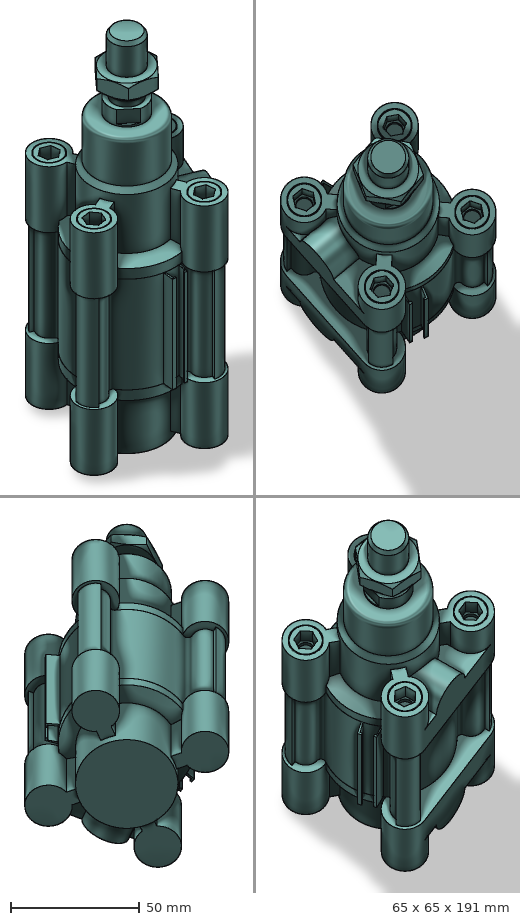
import cadquery as cq
import math

total_height = 191.0
overall_width = 65.0
corner_spacing = 46.5

flange_diameter = 53.5
neck_diameter = 40.0
boss_diameter = overall_width - corner_spacing
boss_height = 32.0
flange_height = 5.2
flange_cone_height = 2.3
web_width = 6.1
neck_length = 4.0

barrel_bottom = neck_length + boss_height
barrel_length = 53.9
barrel_top = barrel_bottom + barrel_length
neck_cone_height = 2.3
nose_top = 151.3
rod_shoulder = 159.1
thread_bottom = 162.0
nut_bottom = 166.2

port_diameter = 20.0
port_offset_x = 5.0
port_height = 15.3
port_block_height = port_height

socket_across_flats = 8.0
socket_depth = 7.6
socket_bore_diameter = 6.7
socket_bore_depth = 2.0
screw_head_diameter = 13.0
screw_recess_diameter = 13.5
screw_groove_depth = 1.0

nose_diameter = 35.0
nose_fillet = 2.3

column_diameter = 11.7
column_lobe_diameter = 16.0
lobe_setback = 1.1
column_blend_radius = 2.0

rail_inner_lip = [
    (24.8, 4.8), (26.2, 4.8), (31.5, 6.5), (31.1, 8.2),
    (30.4, 8.0), (30.5, 7.0), (26.0, 5.5), (24.8, 5.5),
]
rail_outer_lip = [
    (23.0, 12.5), (24.3, 12.5), (27.9, 13.2), (28.0, 12.5),
    (29.0, 12.5), (28.8, 13.8), (24.0, 13.2), (23.0, 13.2),
]

rod_diameter = 19.5
thread_diameter = 16.0
undercut_diameter = 14.5
thread_chamfer_height = 0.5
tip_diameter = 13.5
tip_chamfer_height = 2.0
flats_across = 17.0
flats_bottom = 152.2
flats_angle = -17.3

nut_across_flats = 24.0
nut_thickness = 8.0
nut_face_diameter = 23.7
nut_chamfer_angle = 30.0
nut_corner_angle = 10.7

corner_offset = corner_spacing / 2
corner_angles = [45 + 90 * i for i in range(4)]
corner_distance = math.hypot(corner_offset, corner_offset)


def cylinder(diameter, bottom, top):
    return cq.Workplane("XY").workplane(offset=bottom).circle(diameter / 2).extrude(top - bottom)


def revolved(points):
    """Turn a closed (radius, z) outline about the Z axis."""
    return cq.Workplane("XZ").polyline(points).close().revolve(360, (0, 0), (0, 1))


def hexagon(across_flats, bottom, height):
    """Hexagonal prism with a corner on +X."""
    across_corners = across_flats / math.cos(math.radians(30))
    return cq.Workplane("XY").workplane(offset=bottom).polygon(6, across_corners).extrude(height)


def cap_port():
    """Block between the two +Y bosses with the round port running through it."""
    half_width = overall_width / 2
    inner_width = corner_spacing - boss_diameter
    block = cq.Workplane("XY").box(
        inner_width, half_width, port_block_height, centered=(True, False, False)
    )
    outer_strip = (
        cq.Workplane("XY")
        .box(corner_spacing, boss_diameter / 2, port_block_height, centered=(True, False, False))
        .translate((0, corner_offset, 0))
    )
    port = (
        cq.Workplane("XZ")
        .center(port_offset_x, port_height)
        .circle(port_diameter / 2)
        .extrude(-half_width)
    )
    return block.union(outer_strip).union(port)


def cap_body():
    """Cap standing on its barrel face at z = 0, with flange, neck, corner bosses, webs and port."""
    flange_radius = flange_diameter / 2
    neck_radius = neck_diameter / 2
    cone_top = flange_height + flange_cone_height
    neck_top = boss_height + neck_length
    body = revolved([
        (0, 0),
        (flange_radius, 0),
        (flange_radius, flange_height),
        (neck_radius, cone_top),
        (neck_radius, neck_top),
        (0, neck_top),
    ])
    for angle in corner_angles:
        web = (
            cq.Workplane("XY")
            .box(corner_distance, web_width, boss_height, centered=(False, True, False))
            .rotate((0, 0, 0), (0, 0, 1), angle)
        )
        boss = (
            cylinder(boss_diameter, 0, boss_height)
            .translate((corner_distance, 0, 0))
            .rotate((0, 0, 0), (0, 0, 1), angle)
        )
        body = body.union(web).union(boss)
    return body.union(cap_port())


def screw_recess():
    """Ring groove round a screw head and its hexagon socket, sunk from z = 0."""
    groove = cylinder(screw_recess_diameter, -screw_groove_depth, 0).cut(
        cylinder(screw_head_diameter, -screw_groove_depth, 0)
    )
    socket = hexagon(socket_across_flats, -socket_depth, socket_depth)
    bore = cylinder(socket_bore_diameter, -socket_depth - socket_bore_depth, -socket_depth)
    return groove.union(socket).union(bore)


def make_front_cap():
    cap = cap_body().translate((0, 0, barrel_top))
    boss_top = barrel_top + boss_height
    cone_bottom = boss_top + neck_length
    cone_top = cone_bottom + neck_cone_height
    shoulder = revolved([
        (0, cone_bottom),
        (neck_diameter / 2, cone_bottom),
        (nose_diameter / 2, cone_top),
        (0, cone_top),
    ])
    nose = cylinder(nose_diameter, cone_top, nose_top).faces(">Z").edges().fillet(nose_fillet)
    cap = cap.union(shoulder).union(nose)
    for angle in corner_angles:
        recess = (
            screw_recess()
            .rotate((0, 0, 0), (0, 0, 1), angle - corner_angles[1])
            .translate((
                corner_distance * math.cos(math.radians(angle)),
                corner_distance * math.sin(math.radians(angle)),
                boss_top,
            ))
        )
        cap = cap.cut(recess)
    return cap.cut(cylinder(rod_diameter, barrel_top, nose_top))


def make_rear_cap():
    return cap_body().mirror("XY").translate((0, 0, barrel_bottom))


def column_neck():
    """Neck joining column and barrel, its two sides hollowed by arcs tangent to both rounds."""
    to_barrel = flange_diameter / 2 + column_blend_radius
    to_column = column_diameter / 2 + column_blend_radius
    arc_along = (to_barrel**2 - to_column**2 + corner_distance**2) / (2 * corner_distance)
    arc_across = math.sqrt(to_barrel**2 - arc_along**2)
    arc_centres = [(arc_along, arc_across), (arc_along, -arc_across)]
    neck = (
        cq.Workplane("XY")
        .polyline([(0, 0), arc_centres[1], (corner_distance, 0), arc_centres[0]])
        .close()
        .extrude(barrel_length)
    )
    hollows = cq.Workplane("XY").pushPoints(arc_centres).circle(column_blend_radius).extrude(barrel_length)
    return neck.cut(hollows).rotate((0, 0, 0), (0, 0, 1), corner_angles[0])


def column():
    """Corner column in the +X +Y corner: round core, wider outer lobe and a waisted neck."""
    core_radius = column_diameter / 2
    lobe_radius = column_lobe_diameter / 2
    lobe_end = math.sqrt(lobe_radius**2 - lobe_setback**2)
    lobe_middle = lobe_radius / math.sqrt(2)
    core_middle = -core_radius / math.sqrt(2)
    profile = (
        cq.Workplane("XY")
        .moveTo(core_radius, 0)
        .lineTo(core_radius, lobe_setback)
        .lineTo(lobe_end, lobe_setback)
        .threePointArc((lobe_middle, lobe_middle), (lobe_setback, lobe_end))
        .lineTo(lobe_setback, core_radius)
        .lineTo(0, core_radius)
        .threePointArc((core_middle, core_middle), (core_radius, 0))
        .close()
        .extrude(barrel_length)
        .translate((corner_offset, corner_offset, 0))
    )
    return profile.union(column_neck())


def sensor_rail():
    """Pair of thin bent lips on the +X side that hold a sensor."""
    inner_lip, outer_lip = [
        cq.Workplane("XY").polyline(outline).close().extrude(barrel_length)
        for outline in (rail_inner_lip, rail_outer_lip)
    ]
    return inner_lip.union(outer_lip)


def make_barrel():
    barrel = cylinder(flange_diameter, 0, barrel_length)
    for i in range(4):
        barrel = barrel.union(column().rotate((0, 0, 0), (0, 0, 1), 90 * i))
    rail = sensor_rail()
    barrel = barrel.union(rail).union(rail.mirror("YZ"))
    return barrel.translate((0, 0, barrel_bottom))


def make_rod():
    rod_radius = rod_diameter / 2
    thread_radius = thread_diameter / 2
    undercut_radius = undercut_diameter / 2
    rod = revolved([
        (0, barrel_top),
        (rod_radius, barrel_top),
        (rod_radius, rod_shoulder),
        (undercut_radius, rod_shoulder),
        (undercut_radius, thread_bottom),
        (thread_radius, thread_bottom + thread_chamfer_height),
        (thread_radius, total_height - tip_chamfer_height),
        (tip_diameter / 2, total_height),
        (0, total_height),
    ])
    flats_height = rod_shoulder - flats_bottom
    keep = cq.Workplane("XY").box(flats_across, rod_diameter, flats_height, centered=(True, True, False))
    wrench_flats = cylinder(rod_diameter, 0, flats_height).cut(keep)
    wrench_flats = wrench_flats.rotate((0, 0, 0), (0, 0, 1), flats_angle).translate((0, 0, flats_bottom))
    return rod.cut(wrench_flats)


def make_nut():
    nut = hexagon(nut_across_flats, nut_bottom, nut_thickness)
    nut = nut.rotate((0, 0, 0), (0, 0, 1), 90 + nut_corner_angle)
    nut_top = nut_bottom + nut_thickness
    face_radius = nut_face_diameter / 2
    rise = nut_thickness / 2
    rim_radius = face_radius + rise / math.tan(math.radians(nut_chamfer_angle))
    chamfer_cones = revolved([
        (0, nut_bottom),
        (face_radius, nut_bottom),
        (rim_radius, nut_bottom + rise),
        (face_radius, nut_top),
        (0, nut_top),
    ])
    return nut.intersect(chamfer_cones).cut(cylinder(thread_diameter, nut_bottom, nut_top))


front_cap = make_front_cap()
rear_cap = make_rear_cap()
barrel = make_barrel()
rod = make_rod()
nut = make_nut()

result = cq.Compound.makeCompound([
    front_cap.val(),
    barrel.val(),
    rear_cap.val(),
    rod.val(),
    nut.val(),
])